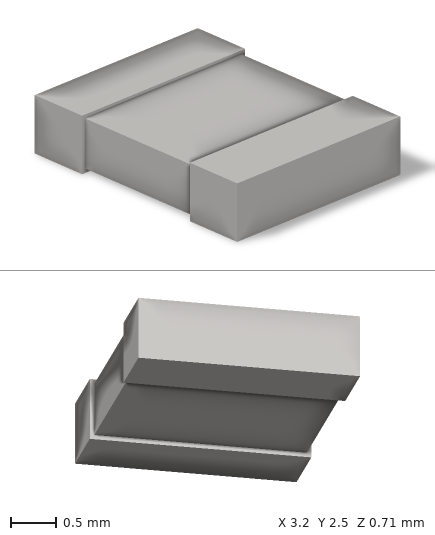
import cadquery as cq


chip_length = 3.2
chip_width = 2.5
chip_height = 0.71

terminal_length = 0.75
terminal_step = 0.05

block_length = chip_length - 2 * terminal_length
block_width = chip_width - 2 * terminal_step
block_height = chip_height - 2 * terminal_step

terminal_offset = (chip_length - terminal_length) / 2


def make_ceramic_block():
    return cq.Workplane("XY").box(block_length, block_width, block_height)


def make_terminal(center_x):
    terminal = cq.Workplane("XY").box(terminal_length, chip_width, chip_height)
    return terminal.translate((center_x, 0, 0))


ceramic_block = make_ceramic_block()
terminals = [make_terminal(side * terminal_offset) for side in (-1, 1)]

result = cq.Compound.makeCompound(
    [ceramic_block.val(), *[terminal.val() for terminal in terminals]]
)